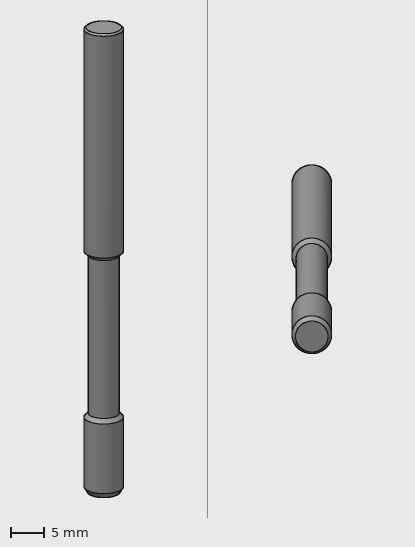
import cadquery as cq

tool_diameter = 6.0
overall_length = 75.0

shank_length = 36.1
shank_end_chamfer = 0.3
neck_diameter = 4.7

head_cylinder_top = 12.1
tip_diameter = 4.9
tip_chamfer_height = 0.87

tool_radius = tool_diameter / 2
neck_radius = neck_diameter / 2
tip_radius = tip_diameter / 2
shoulder_height = tool_radius - neck_radius
bottom_z = 0.0
top_z = bottom_z + overall_length
shank_bottom_z = top_z - shank_length
neck_bottom_z = bottom_z + head_cylinder_top + shoulder_height


def revolve_profile(points):
    """Turn a closed outline of (radius, height) points about the Z axis."""
    return cq.Workplane("XZ").polyline(points).close().revolve(360, (0, 0), (0, 1))


def make_shank():
    """Chamfered shank that steps down through a cone to the slim neck."""
    return revolve_profile([
        (0, neck_bottom_z),
        (neck_radius, neck_bottom_z),
        (neck_radius, shank_bottom_z - shoulder_height),
        (tool_radius, shank_bottom_z),
        (tool_radius, top_z - shank_end_chamfer),
        (tool_radius - shank_end_chamfer, top_z),
        (0, top_z),
    ])


def make_cutting_head():
    """Full-diameter head with a cone at each end, butted against the neck."""
    return revolve_profile([
        (0, bottom_z),
        (tip_radius, bottom_z),
        (tool_radius, bottom_z + tip_chamfer_height),
        (tool_radius, bottom_z + head_cylinder_top),
        (neck_radius, neck_bottom_z),
        (0, neck_bottom_z),
    ])


shank = make_shank()
cutting_head = make_cutting_head()

result = cq.Compound.makeCompound([shank.val(), cutting_head.val()])